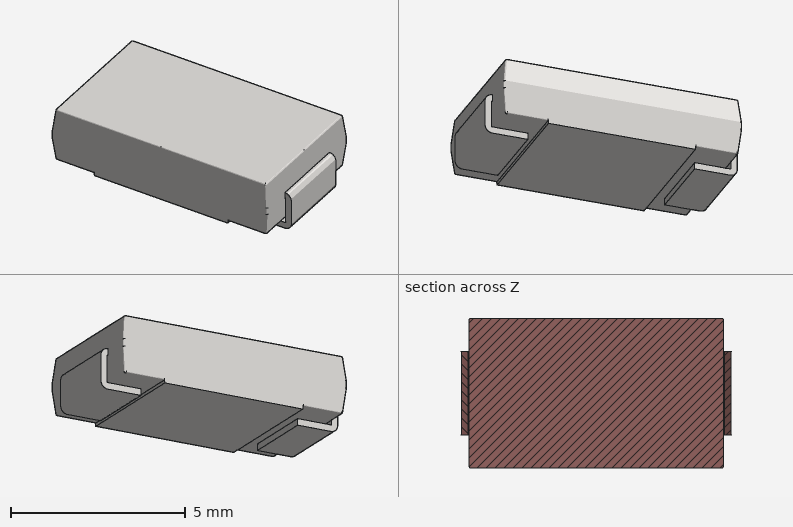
import cadquery as cq
import math

body_length = 7.3
body_width = 4.3
overall_height = 2.0
housing_bottom = 0.25
draft_angle = 6.3
belt_top = 1.24
belt_bottom = 1.015
edge_radius = 0.05

pad_bottom = 0.16
pad_top_length = 4.7

lead_span = 7.74
lead_width = 2.4
lead_thickness = 0.2
lead_foot_end = 2.56
lead_top = 1.235
bend_radius = (lead_span - body_length - lead_thickness) / 2


def drafted_block(length, width, start_z, end_z):
    """Rectangular block that narrows by the draft angle from start_z to end_z."""
    inset = abs(end_z - start_z) * math.tan(math.radians(draft_angle))
    return (
        cq.Workplane("XY", origin=(0, 0, start_z))
        .rect(length, width)
        .workplane(offset=end_z - start_z)
        .rect(length - 2 * inset, width - 2 * inset)
        .loft(ruled=True)
    )


def make_housing():
    belt = cq.Workplane("XY", origin=(0, 0, belt_bottom)).box(
        body_length, body_width, belt_top - belt_bottom, centered=(True, True, False)
    )
    upper = drafted_block(body_length, body_width, belt_top, overall_height)
    lower = drafted_block(body_length, body_width, belt_bottom, housing_bottom)
    shell = belt.union(upper).union(lower)

    rounded = shell.edges("not(#Z)").edges("not(|X or |Y)").fillet(edge_radius)
    rounded = rounded.faces("<Z or >Z").edges().fillet(edge_radius)

    pad = drafted_block(pad_top_length, body_width, belt_bottom, pad_bottom)
    return rounded.union(pad, clean=False)


def make_lead(side):
    """C-shaped lead from the belt down and back under the housing; side is -1 or +1."""
    middle_x = lead_span / 2 - lead_thickness / 2
    start_x = body_length / 2
    start_z = lead_top - lead_thickness / 2
    foot_z = lead_thickness / 2

    centreline = (
        cq.Workplane("XZ")
        .moveTo(start_x, start_z)
        .radiusArc((middle_x, start_z - bend_radius), bend_radius)
        .lineTo(middle_x, foot_z + bend_radius)
        .radiusArc((start_x, foot_z), bend_radius)
        .lineTo(lead_foot_end, foot_z)
    )
    lead = (
        cq.Workplane("YZ", origin=(start_x, 0, start_z))
        .rect(lead_width, lead_thickness)
        .sweep(centreline, clean=False)
    )
    return lead if side > 0 else lead.mirror("YZ")


housing = make_housing()
leads = [make_lead(side) for side in (-1, 1)]

result = cq.Compound.makeCompound([housing.val(), *[lead.val() for lead in leads]])